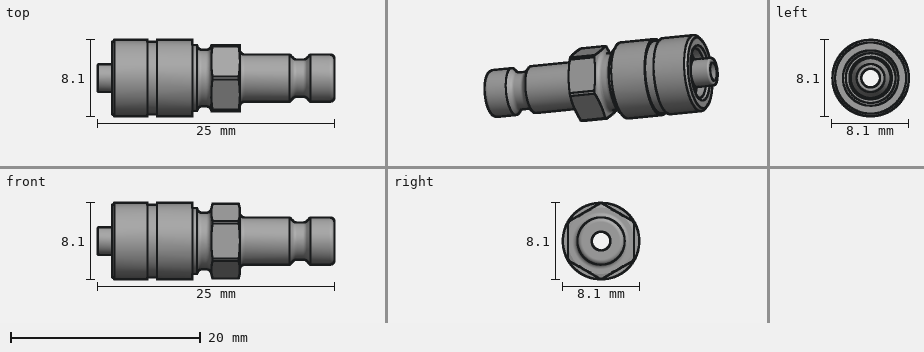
import cadquery as cq
import math

LENGTH = 25.0
BORE_D = 1.95

SLEEVE_D = 8.1
SLEEVE_START = 1.5
SLEEVE_END = 10.0
SLEEVE_CHAMFER = 0.3
BAND_D = 7.7
BAND_START = 5.25
BAND_END = 6.25
MOUTH_D = 5.25
MOUTH_CHAMFER = 0.3
MOUTH_LAND_END = 2.8
SLEEVE_BORE_D = 6.2

INNER_GROOVE_D = 6.0
INNER_GROOVE_WIDTH = 3.2

SPIGOT_D = 2.95
SPIGOT_EDGE_RADIUS = 0.2
CONE_START = 2.0
CONE_END_D = 4.2
CONE_HALF_ANGLE = 20.0
RECESS_D = 4.5
RECESS_DEPTH = 0.5
SHANK_FACE = MOUTH_LAND_END + INNER_GROOVE_WIDTH

COLLAR_D = 7.0
NECK_D = 6.0
NECK_START = 10.5
NECK_FILLET = (COLLAR_D - NECK_D) / 2

HEX_START = 12.0
HEX_END = 15.0
HEX_FLATS = 7.0
HEX_CORNER_D = 7.9
HEX_CHAMFER_ANGLE = 15.0

PLUG_D = 5.0
PLUG_ROOT_FILLET = 0.5
PLUG_TIP_FILLET = 0.5
GROOVE_D = 3.95
GROOVE_CENTRE = 21.35
GROOVE_FLOOR = 1.15
GROOVE_FILLET = 0.5


def revolve_about_x(profile):
    """Turn a closed (x, radius) profile about the X axis."""
    return profile.close().revolve(360, (0, 0, 0), (1, 0, 0))


def rod(diameter, start, end):
    """Solid cylinder on the X axis."""
    return cq.Workplane("YZ", origin=(start, 0, 0)).circle(diameter / 2).extrude(end - start)


def build_sleeve():
    """Outer sleeve: shallow band outside; chamfered lip, rounded groove and rear bore inside."""
    outer_r = SLEEVE_D / 2
    band_r = BAND_D / 2
    mouth_r = MOUTH_D / 2
    bore_r = SLEEVE_BORE_D / 2
    groove_middle = MOUTH_LAND_END + INNER_GROOVE_WIDTH / 2
    profile = (
        cq.Workplane("XY")
        .moveTo(SLEEVE_START, mouth_r + MOUTH_CHAMFER)
        .lineTo(SLEEVE_START, outer_r - SLEEVE_CHAMFER)
        .lineTo(SLEEVE_START + SLEEVE_CHAMFER, outer_r)
        .lineTo(BAND_START, outer_r)
        .lineTo(BAND_START, band_r)
        .lineTo(BAND_END, band_r)
        .lineTo(BAND_END, outer_r)
        .lineTo(SLEEVE_END, outer_r)
        .lineTo(SLEEVE_END, bore_r)
        .lineTo(SHANK_FACE, bore_r)
        .lineTo(SHANK_FACE, mouth_r)
        .threePointArc((groove_middle, INNER_GROOVE_D / 2), (MOUTH_LAND_END, mouth_r))
        .lineTo(SLEEVE_START + MOUTH_CHAMFER, mouth_r)
    )
    return revolve_about_x(profile)


def build_front():
    """Spigot, its cone, the shank inside the sleeve, and the collar and neck behind it."""
    spigot_r = SPIGOT_D / 2
    cone_r = CONE_END_D / 2
    cone_end = CONE_START + (cone_r - spigot_r) / math.tan(math.radians(CONE_HALF_ANGLE))
    recess_floor = SHANK_FACE + RECESS_DEPTH
    profile = (
        cq.Workplane("XY")
        .moveTo(0, 0)
        .lineTo(0, spigot_r - SPIGOT_EDGE_RADIUS)
        .radiusArc((SPIGOT_EDGE_RADIUS, spigot_r), SPIGOT_EDGE_RADIUS)
        .lineTo(CONE_START, spigot_r)
        .lineTo(cone_end, cone_r)
        .lineTo(recess_floor, cone_r)
        .lineTo(recess_floor, RECESS_D / 2)
        .lineTo(SHANK_FACE, RECESS_D / 2)
        .lineTo(SHANK_FACE, SLEEVE_BORE_D / 2)
        .lineTo(SLEEVE_END, SLEEVE_BORE_D / 2)
        .lineTo(SLEEVE_END, COLLAR_D / 2)
        .lineTo(NECK_START, COLLAR_D / 2)
        .radiusArc((NECK_START + NECK_FILLET, NECK_D / 2), -NECK_FILLET)
        .lineTo(HEX_START - NECK_FILLET, NECK_D / 2)
        .radiusArc((HEX_START, COLLAR_D / 2), -NECK_FILLET)
        .lineTo(HEX_START, 0)
    )
    return revolve_about_x(profile)


def build_hexagon():
    """Hexagon with two flats facing +Y and -Y, corners turned down and both ends chamfered."""
    flat_r = HEX_FLATS / 2
    corner_r = HEX_CORNER_D / 2
    setback = (corner_r - flat_r) * math.tan(math.radians(HEX_CHAMFER_ANGLE))
    envelope = revolve_about_x(
        cq.Workplane("XY")
        .moveTo(HEX_START, 0)
        .lineTo(HEX_START, flat_r)
        .lineTo(HEX_START + setback, corner_r)
        .lineTo(HEX_END - setback, corner_r)
        .lineTo(HEX_END, flat_r)
        .lineTo(HEX_END, 0)
    )
    across_corners = HEX_FLATS / math.cos(math.radians(30))
    prism = (
        cq.Workplane("YZ", origin=(HEX_START, 0, 0))
        .transformed(rotate=(0, 0, 90))
        .polygon(6, across_corners)
        .extrude(HEX_END - HEX_START)
    )
    return prism.intersect(envelope)


def build_plug():
    """Rear plug with a flared root, a V-sided ring groove and a rounded tip."""
    plug_r = PLUG_D / 2
    groove_r = GROOVE_D / 2
    half_floor = GROOVE_FLOOR / 2
    half_mouth = half_floor + plug_r - groove_r
    reach = GROOVE_FILLET * math.tan(math.radians(22.5))
    diagonal = reach * math.cos(math.radians(45))
    profile = (
        cq.Workplane("XY")
        .moveTo(HEX_END, 0)
        .lineTo(HEX_END, plug_r + PLUG_ROOT_FILLET)
        .radiusArc((HEX_END + PLUG_ROOT_FILLET, plug_r), -PLUG_ROOT_FILLET)
        .lineTo(GROOVE_CENTRE - half_mouth, plug_r)
        .lineTo(GROOVE_CENTRE - half_floor - diagonal, groove_r + diagonal)
        .radiusArc((GROOVE_CENTRE - half_floor + reach, groove_r), -GROOVE_FILLET)
        .lineTo(GROOVE_CENTRE + half_floor - reach, groove_r)
        .radiusArc((GROOVE_CENTRE + half_floor + diagonal, groove_r + diagonal), -GROOVE_FILLET)
        .lineTo(GROOVE_CENTRE + half_mouth, plug_r)
        .lineTo(LENGTH - PLUG_TIP_FILLET, plug_r)
        .radiusArc((LENGTH, plug_r - PLUG_TIP_FILLET), PLUG_TIP_FILLET)
        .lineTo(LENGTH, 0)
    )
    return revolve_about_x(profile)


def build_core():
    """One-piece core running the full length, with a straight through bore."""
    solid = build_front().union(build_hexagon()).union(build_plug())
    return solid.cut(rod(BORE_D, 0, LENGTH))


sleeve = build_sleeve()
core = build_core()

result = cq.Compound.makeCompound([sleeve.val(), *core.vals()])